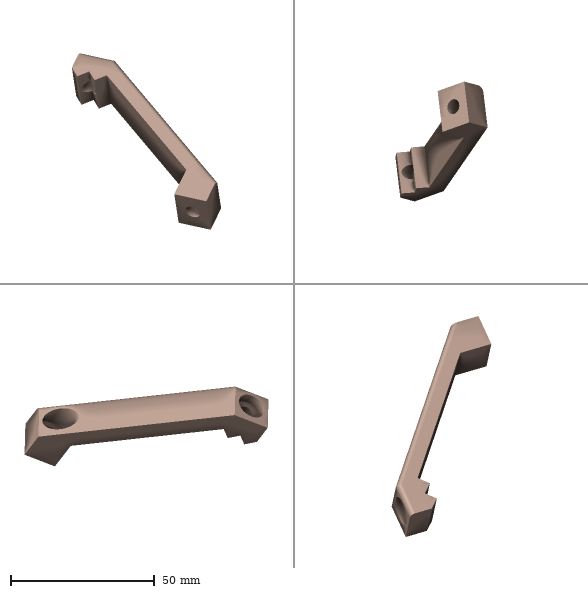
import cadquery as cq
import math

overall_length = 85.83
thickness = 15.0
lean_angle = 6.7
edge_radius = 2.0
bar_depth = 6.25

left_arm_angle = 38.2
left_arm_length = 13.0
left_arm_depth = 8.0
right_arm_length = 10.3
right_arm_width = 11.96

foot_angle = 7.0
foot_length = 4.6
step_height = 4.6
step_length = 4.6

hole_diameter = 5.3
counterbore_diameter = 10.0
left_seat_depth = 3.8
seat_depth_at_rim = 4.0


def direction(angle):
    """Unit vector in the profile plane, at an angle in degrees from +X."""
    return cq.Vector(math.cos(math.radians(angle)), math.sin(math.radians(angle)), 0)


left_along = direction(left_arm_angle)
left_inward = direction(left_arm_angle - 90)
right_outward = left_inward
right_inner_side = left_along * -1
foot_along = direction(-foot_angle)
foot_up = direction(90 - foot_angle)

left_bend = cq.Vector(left_arm_length * left_along.x, 0, 0)
left_tip = left_bend - left_along * left_arm_length
right_bend = cq.Vector(overall_length - right_arm_length * right_outward.x, 0, 0)
right_tip = right_bend + right_outward * right_arm_length


def make_profile_body():
    """Extruded outline of the bar, the two arms and the stepped foot."""
    right_end = right_tip + right_inner_side * right_arm_width
    right_inner_rise = (-bar_depth - right_end.y) / right_outward.y
    right_inner_bend = right_end + right_outward * right_inner_rise

    foot_start = left_tip + left_inward * left_arm_depth
    foot_end = foot_start + foot_along * foot_length
    step_inner = foot_end + foot_up * step_height
    step_outer = step_inner + foot_along * step_length
    step_rise = (-bar_depth - step_outer.y) / foot_up.y
    step_top = step_outer + foot_up * step_rise

    outline = [
        left_tip,
        left_bend,
        right_bend,
        right_tip,
        right_end,
        right_inner_bend,
        step_top,
        step_outer,
        step_inner,
        foot_end,
        foot_start,
    ]
    points = [(corner.x, corner.y) for corner in outline]
    return cq.Workplane("XY").polyline(points).close().extrude(thickness)


def round_back_edges(body):
    """Round the upper edges behind the left arm and the bar; the right arm stays sharp."""
    selector = None
    for start, end in [(left_tip, left_bend), (left_bend, right_bend)]:
        middle = (start + end) * 0.5
        edge = cq.selectors.NearestToPointSelector((middle.x, middle.y, thickness))
        selector = edge if selector is None else selector + edge
    return body.edges(selector).fillet(edge_radius)


def make_screw_hole(seat_center, axis):
    """Cutter for a through hole, with its counterbore running back from the seat."""
    reach = overall_length / 2
    counterbore = cq.Solid.makeCylinder(counterbore_diameter / 2, reach, seat_center, axis * -1)
    hole = cq.Solid.makeCylinder(hole_diameter / 2, reach, seat_center, axis)
    return cq.Workplane(obj=counterbore).union(cq.Workplane(obj=hole))


def make_left_hole():
    """Screw hole square to the outer face of the left arm, centred on that face."""
    mid_height = cq.Vector(0, 0, thickness / 2)
    face_center = (left_tip + left_bend) * 0.5 + mid_height
    return make_screw_hole(face_center + left_inward * left_seat_depth, left_inward)


def make_right_hole():
    """Screw hole along the right arm, centred on its end and entering through the bar's back."""
    mid_height = cq.Vector(0, 0, thickness / 2)
    end_center = right_tip + right_inner_side * (right_arm_width / 2) + mid_height
    entry = end_center + right_outward * (end_center.y / -right_outward.y)
    rim_offset = counterbore_diameter / 2 * math.tan(math.radians(left_arm_angle))
    seat_center = entry + right_outward * (rim_offset + seat_depth_at_rim)
    return make_screw_hole(seat_center, right_outward)


body = round_back_edges(make_profile_body())
body = body.cut(make_left_hole()).cut(make_right_hole())
result = body.rotate((0, 0, 0), (1, 0, 0), lean_angle)